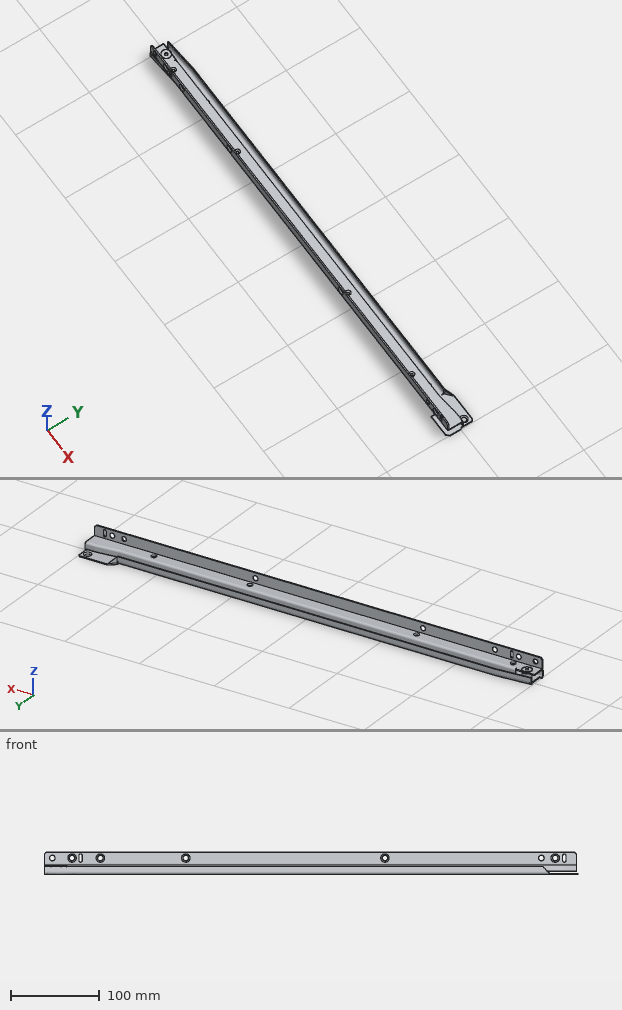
import cadquery as cq
import math

LENGTH = 601.0
WIDTH = 36.5
SHEET = 1.5
SINK_RADIUS = 5.0
SCREW_RADIUS = 3.0

UPPER_WALL_Y = 11.5
UPPER_WALL_TOP = 10.0
UPPER_BEND = 5.0
LOWER_WALL_Y = -14.0
LOWER_WALL_TOP = 9.0
LOWER_BEND = 3.0
KICK_LENGTH = 45.0
KICK_OFFSET = 3.5
REAR_NOTCH = 3.0
UPPER_WALL_END = 552.0
LOWER_WALL_END = 561.5
PLATE_START = 568.5
PLATE_END = 599.0
PLATE_CORNER = 2.0
LUG_START = 560.0
LUG_OFFSET = WIDTH / 2 - UPPER_WALL_Y
LUG_HOLE = (592.0, 10.0)
WEB_HOLE_RADIUS = 3.0
WEB_HOLES_X = [54.0, 64.5, 95.5, 309.5, 318.5, 342.0, 351.0, 521.0, 544.5]
WEB_SINKS_X = [86.0, 533.0]

DRAWER_END = 599.0
WEB_TOP = 12.0
WEB_BOTTOM = WEB_TOP - SHEET
FLANGE_Y = -17.0
FLANGE_THICKNESS = 2.0
FLANGE_BEND = 2.0
FLANGE_CORNER = 2.5
LIP_Y = 1.5
LIP_BOTTOM = 3.5
LIP_BEND = 2.7
LIP_START = 25.0
LIP_FLARE = (556.0, 585.5)
LIP_FLARE_OFFSET = 3.3
REAR_EDGE_Y = 1.0

FLANGE_HOLE_Z = 18.5
FLANGE_SINKS_X = [31.0, 63.0, 159.0, 383.5, 575.0]
FLANGE_HOLES_X = [9.0, 559.5]
FLANGE_HOLE_RADIUS = 3.0
FLANGE_SLOTS_X = [41.0, 585.5]
SLOT_LENGTH = 9.0
SLOT_WIDTH = 3.5
SLOT_MARGIN = 2.3
HEIGHT = FLANGE_HOLE_Z + SLOT_LENGTH / 2 + SLOT_MARGIN

WEB_SCREW_Y = -9.0
WEB_SCREWS_X = [35.0, 164.0, 387.0, 516.0]
WEB_SCREW_MOUTH = 3.3
WEB_SCREW_RADIUS = 1.5

ROLLER_X = 13.0
ROLLER_Y = -4.0
ROLLER_RADIUS = 5.7
ROLLER_BOTTOM = 2.5
ROLLER_TOP = 9.5
RIVET_RADIUS = 3.5
RIVET_HEAD_RADIUS = 6.0
RIVET_HEAD_HEIGHT = 0.5
RIVET_BORE_RADIUS = 2.0

DIAGONAL = math.sqrt(0.5)


def box(x0, x1, y0, y1, z0, z1):
    return cq.Workplane("XY").box(x1 - x0, y1 - y0, z1 - z0, centered=False).translate((x0, y0, z0))


def cylinder(x, y, z0, z1, radius):
    return cq.Workplane("XY").center(x, y).circle(radius).extrude(z1 - z0).translate((0, 0, z0))


def cone_cutter(x, y, z_top, mouth, hole, depth):
    """Countersink that opens upwards at z_top and narrows to the hole over the depth."""
    return cq.Workplane(cq.Solid.makeCone(mouth, hole, depth, cq.Vector(x, y, z_top), cq.Vector(0, 0, -1)))


def bend(sketch, center, radius, start, end):
    """Quarter arc about the center from the start point to the end point; points are (y, z) pairs."""
    toward = (start[0] + end[0] - 2 * center[0], start[1] + end[1] - 2 * center[1])
    middle = tuple(c + radius * DIAGONAL * math.copysign(1, t) for c, t in zip(center, toward))
    return sketch.threePointArc(middle, end)


def loft_between(section, x0, offset0, x1, offset1):
    """Solid whose cross-section runs straight from one end section to the other."""
    first = section(x0, offset0).val()
    last = section(x1, offset1).val()
    return cq.Workplane(cq.Solid.makeLoft([first, last], True))


def channel_section(x, offset):
    upper = UPPER_WALL_Y + offset
    lower = LOWER_WALL_Y + offset
    upper_center = (upper - UPPER_BEND, UPPER_BEND)
    lower_center = (lower + LOWER_BEND, LOWER_BEND)
    s = cq.Workplane("YZ", origin=(x, 0, 0)).moveTo(lower, LOWER_WALL_TOP).lineTo(lower, LOWER_BEND)
    s = bend(s, lower_center, LOWER_BEND, (lower, LOWER_BEND), (lower_center[0], 0))
    s = s.lineTo(upper_center[0], 0)
    s = bend(s, upper_center, UPPER_BEND, (upper_center[0], 0), (upper, UPPER_BEND))
    s = s.lineTo(upper, UPPER_WALL_TOP).lineTo(upper - SHEET, UPPER_WALL_TOP)
    s = s.lineTo(upper - SHEET, UPPER_BEND)
    s = bend(s, upper_center, UPPER_BEND - SHEET, (upper - SHEET, UPPER_BEND), (upper_center[0], SHEET))
    s = s.lineTo(lower_center[0], SHEET)
    s = bend(s, lower_center, LOWER_BEND - SHEET, (lower_center[0], SHEET), (lower + SHEET, LOWER_BEND))
    return s.lineTo(lower + SHEET, LOWER_WALL_TOP).close().wire()


def front_plate():
    """Flat end of the web, with a lug on +Y and a low ledge on -Y."""
    half = WIDTH / 2
    nose = PLATE_CORNER
    outline = [
        (UPPER_WALL_END, LOWER_WALL_Y + LOWER_BEND),
        (PLATE_START, LOWER_WALL_Y + LOWER_BEND),
        (PLATE_START, -half),
        (PLATE_END - nose, -half),
        (LENGTH, -half + 2 * nose),
        (LENGTH, 0),
        (PLATE_END, nose),
        (PLATE_END, half - nose),
        (PLATE_END - nose, half),
        (LUG_START, half),
        (UPPER_WALL_END, UPPER_WALL_Y),
    ]
    return cq.Workplane("XY").polyline(outline).close().extrude(SHEET)


def runout_section(x, offset):
    """Wall cross-section that drops from full height to the web as it moves out to the lug edge."""
    top = UPPER_WALL_TOP + (SHEET - UPPER_WALL_TOP) * offset / LUG_OFFSET
    outer = UPPER_WALL_Y + offset
    corners = [(outer - SHEET, 0), (outer, 0), (outer, top), (outer - SHEET, top)]
    return cq.Workplane("YZ", origin=(x, 0, 0)).polyline(corners).close().wire()


def cabinet_rail():
    kick = loft_between(channel_section, 0, -KICK_OFFSET, KICK_LENGTH, 0)
    channel = loft_between(channel_section, KICK_LENGTH, 0, PLATE_START, 0)
    rail = kick.union(channel)
    rail = rail.cut(box(UPPER_WALL_END, LENGTH, 0, WIDTH, 0, HEIGHT))
    sloped_end = [
        (LOWER_WALL_END, LOWER_WALL_TOP),
        (PLATE_START, SHEET),
        (PLATE_START, LOWER_WALL_TOP),
    ]
    end_cut = cq.Workplane("XZ").polyline(sloped_end).close().extrude(WIDTH, both=True)
    rail = rail.cut(end_cut).union(front_plate())
    rail = rail.union(loft_between(runout_section, UPPER_WALL_END, 0, LUG_START, LUG_OFFSET))

    notch_low = LOWER_WALL_Y - KICK_OFFSET + LOWER_BEND
    notch_high = UPPER_WALL_Y - KICK_OFFSET - SHEET
    rail = rail.cut(box(0, REAR_NOTCH, notch_low, notch_high, 0, UPPER_BEND))

    for x in WEB_HOLES_X:
        rail = rail.cut(cylinder(x, 0, 0, SHEET, WEB_HOLE_RADIUS))
    for x, y in [(x, 0) for x in WEB_SINKS_X] + [LUG_HOLE]:
        rail = rail.cut(cone_cutter(x, y, SHEET, SINK_RADIUS, SCREW_RADIUS, SHEET))
    return rail


def drawer_section(x, offset):
    lip = LIP_Y + offset
    lip_center = (lip - LIP_BEND, WEB_TOP - LIP_BEND)
    flange_inner = FLANGE_Y + FLANGE_THICKNESS
    flange_center = (FLANGE_Y + FLANGE_BEND, WEB_BOTTOM + FLANGE_BEND)
    s = cq.Workplane("YZ", origin=(x, 0, 0)).moveTo(FLANGE_Y, HEIGHT).lineTo(FLANGE_Y, flange_center[1])
    s = bend(s, flange_center, FLANGE_BEND, (FLANGE_Y, flange_center[1]), (flange_center[0], WEB_BOTTOM))
    s = s.lineTo(lip_center[0], WEB_BOTTOM)
    s = bend(s, lip_center, LIP_BEND - SHEET, (lip_center[0], WEB_BOTTOM), (lip - SHEET, lip_center[1]))
    s = s.lineTo(lip - SHEET, LIP_BOTTOM).lineTo(lip, LIP_BOTTOM).lineTo(lip, lip_center[1])
    s = bend(s, lip_center, LIP_BEND, (lip, lip_center[1]), (lip_center[0], WEB_TOP))
    return s.lineTo(flange_inner, WEB_TOP).lineTo(flange_inner, HEIGHT).close().wire()


def cut_flange_openings(rail):
    plane = cq.Workplane("XZ", origin=(0, FLANGE_Y + FLANGE_THICKNESS, FLANGE_HOLE_Z))
    for x in FLANGE_HOLES_X:
        rail = rail.cut(plane.center(x, 0).circle(FLANGE_HOLE_RADIUS).extrude(FLANGE_THICKNESS))
    for x in FLANGE_SLOTS_X:
        rail = rail.cut(plane.center(x, 0).slot2D(SLOT_LENGTH, SLOT_WIDTH, 90).extrude(FLANGE_THICKNESS))
    for x in FLANGE_SINKS_X:
        mouth = cq.Vector(x, FLANGE_Y, FLANGE_HOLE_Z)
        sink = cq.Solid.makeCone(SINK_RADIUS, SCREW_RADIUS, FLANGE_THICKNESS, mouth, cq.Vector(0, 1, 0))
        rail = rail.cut(cq.Workplane(sink))
    return rail


def add_roller(rail):
    """Rear roller under the web, held by a hollow rivet; both are part of the drawer rail."""
    head_top = WEB_TOP + RIVET_HEAD_HEIGHT
    roller = cylinder(ROLLER_X, ROLLER_Y, ROLLER_BOTTOM, ROLLER_TOP, ROLLER_RADIUS)
    rivet = cylinder(ROLLER_X, ROLLER_Y, ROLLER_BOTTOM, head_top, RIVET_RADIUS)
    head = cylinder(ROLLER_X, ROLLER_Y, WEB_TOP, head_top, RIVET_HEAD_RADIUS)
    bore = cylinder(ROLLER_X, ROLLER_Y, WEB_BOTTOM, head_top, RIVET_BORE_RADIUS)
    return rail.union(roller).union(rivet).union(head).cut(bore)


def drawer_rail():
    flare_start, flare_end = LIP_FLARE
    rail = loft_between(drawer_section, 0, 0, flare_start, 0)
    rail = rail.union(loft_between(drawer_section, flare_start, 0, flare_end, LIP_FLARE_OFFSET))
    front = loft_between(drawer_section, flare_end, LIP_FLARE_OFFSET, DRAWER_END, LIP_FLARE_OFFSET)
    rail = rail.union(front)
    lip_bend_start = LIP_Y - LIP_BEND
    rail = rail.cut(box(0, LIP_START, lip_bend_start, WIDTH, 0, HEIGHT))
    rail = rail.union(box(0, LIP_START, lip_bend_start, REAR_EDGE_Y, WEB_BOTTOM, WEB_TOP))
    rail = rail.edges("|Y").edges(">Z").edges("<X or >X").chamfer(FLANGE_CORNER)
    rail = cut_flange_openings(rail)
    for x in WEB_SCREWS_X:
        rail = rail.cut(cone_cutter(x, WEB_SCREW_Y, WEB_TOP, WEB_SCREW_MOUTH, WEB_SCREW_RADIUS, SHEET))
    return add_roller(rail)


cabinet = cabinet_rail()
drawer = drawer_rail()
result = cq.Compound.makeCompound([cabinet.val(), drawer.val()])